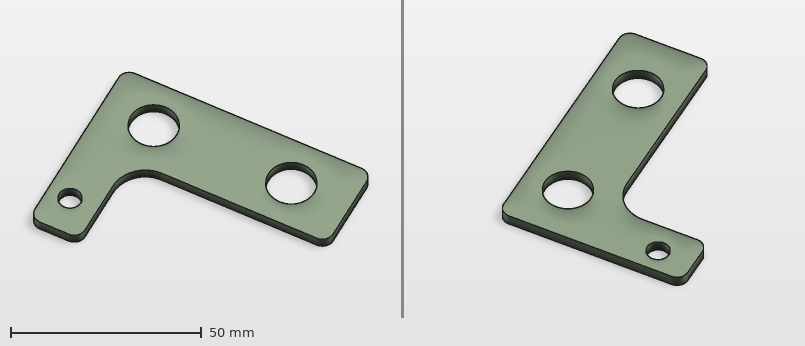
import cadquery as cq

length = 73.15
depth = 54.1
thickness = 3.15

arm_width = 25.45
leg_width = 14.8
corner_radius = 3.15
inner_radius = 9.5

large_diameter = 13.45
large_hole_xs = (15.3, 55.9)
large_hole_y = depth - arm_width / 2

small_diameter = 6.4
small_hole_x = 6.6
small_hole_y = 10.45


def l_plate():
    """L-shaped plate with rounded outer corners and a larger inner fillet."""
    inner_y = depth - arm_width
    outline = [
        (0, 0),
        (leg_width, 0),
        (leg_width, inner_y),
        (length, inner_y),
        (length, depth),
        (0, depth),
    ]
    plate = cq.Workplane("XY").polyline(outline).close().extrude(thickness)
    inner_corner = cq.selectors.NearestToPointSelector((leg_width, inner_y, thickness / 2))
    plate = plate.edges(inner_corner).fillet(inner_radius)
    for x, y in outline:
        if (x, y) != (leg_width, inner_y):
            corner = cq.selectors.NearestToPointSelector((x, y, thickness / 2))
            plate = plate.edges(corner).fillet(corner_radius)
    return plate


def through_holes(centres, diameter):
    """Cylinders that pass through the full plate thickness."""
    return cq.Workplane("XY").pushPoints(centres).circle(diameter / 2).extrude(thickness)


large_holes = through_holes([(x, large_hole_y) for x in large_hole_xs], large_diameter)
small_hole = through_holes([(small_hole_x, small_hole_y)], small_diameter)

result = l_plate().cut(large_holes).cut(small_hole)